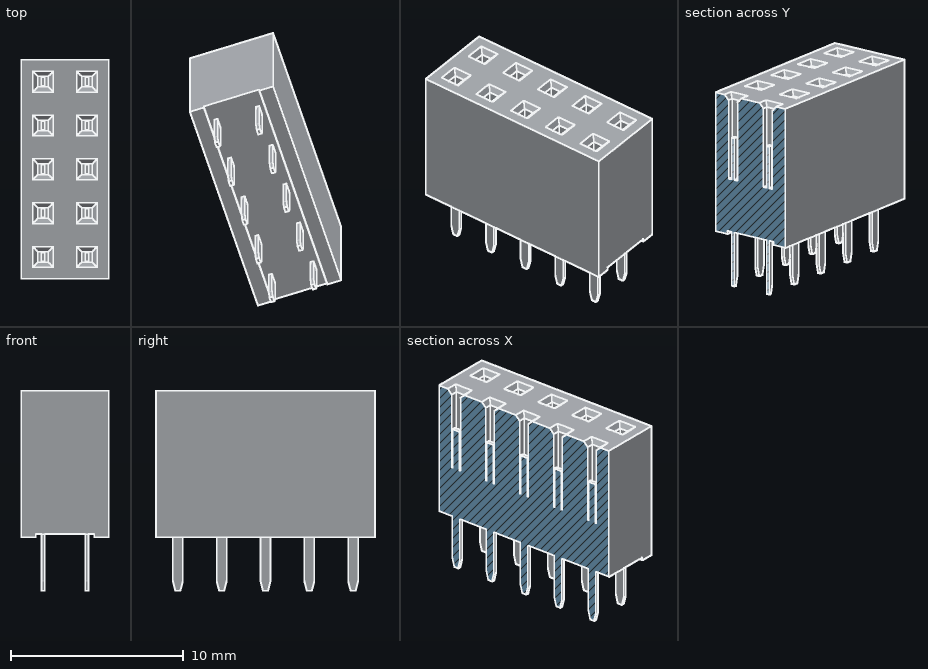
import cadquery as cq

pitch = 2.54
column_count = 2
row_count = 5

housing_width = column_count * pitch
housing_length = row_count * pitch
housing_height = 8.5
foot_width = 0.85
foot_height = 0.19

mouth_size = 1.21
well_size = 0.62
lead_in_depth = (mouth_size - well_size) / 2
well_depth = 5.08

blade_thickness = 0.2
blade_width = 0.6
blade_drop = 3.1
tip_width = 0.3
tip_length = 0.57
tongue_width = 0.51
tongue_height = 2.54


def make_housing():
    block = cq.Workplane("XY").box(
        housing_width, housing_length, housing_height, centered=(True, True, False)
    )
    channel = cq.Workplane("XY").box(
        housing_width - 2 * foot_width, housing_length, foot_height, centered=(True, True, False)
    )
    return block.cut(channel)


def make_socket_cutter():
    lead_in = (
        cq.Workplane("XY", origin=(0, 0, housing_height))
        .rect(mouth_size, mouth_size)
        .workplane(offset=-lead_in_depth)
        .rect(well_size, well_size)
        .loft(ruled=True)
    )
    well = (
        cq.Workplane("XY", origin=(0, 0, housing_height - well_depth))
        .rect(well_size, well_size)
        .extrude(well_depth - lead_in_depth)
    )
    return lead_in.union(well)


def make_contact():
    well_floor = housing_height - well_depth
    tongue_top = well_floor + tongue_height
    right_half = [
        (tip_width / 2, -blade_drop),
        (blade_width / 2, -blade_drop + tip_length),
        (blade_width / 2, well_floor),
        (tongue_width / 2, well_floor),
        (tongue_width / 2, tongue_top),
    ]
    left_half = [(-y, z) for y, z in reversed(right_half)]
    return (
        cq.Workplane("YZ")
        .polyline(right_half + left_half)
        .close()
        .extrude(blade_thickness / 2, both=True)
    )


def grid_positions():
    columns = [(i - (column_count - 1) / 2) * pitch for i in range(column_count)]
    rows = [(i - (row_count - 1) / 2) * pitch for i in range(row_count)]
    return [(x, y, 0) for x in columns for y in rows]


result = make_housing()
socket_cutter = make_socket_cutter()
contact = make_contact()
for position in grid_positions():
    result = result.cut(socket_cutter.translate(position))
    result = result.union(contact.translate(position))